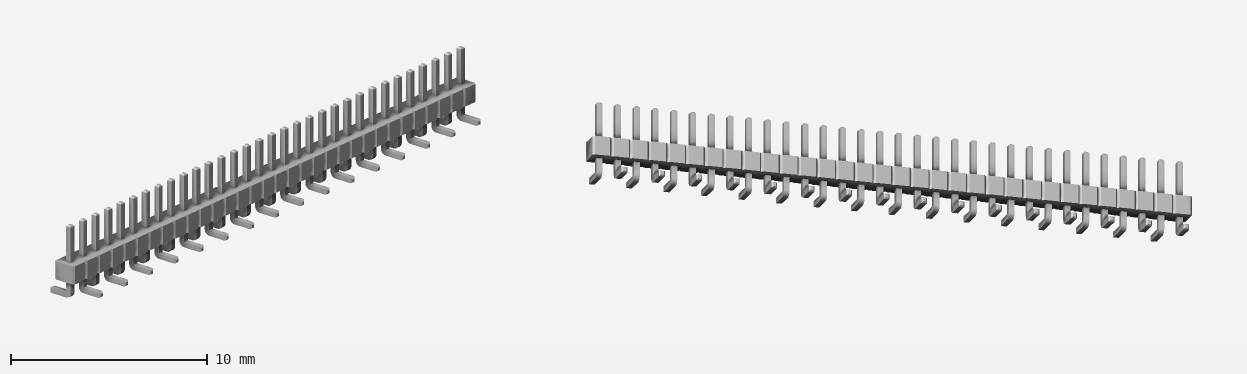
import cadquery as cq


pin_count = 32
row_length = 32.0
pitch = row_length / pin_count

body_width = 1.28
body_bottom = pitch
body_height = pitch
corner_chamfer = 0.1

pin_size = 0.3
pin_height = 4.0
tip_chamfer = 0.075
foot_span = 2.5
foot_reach = foot_span / 2
bend_radius = pin_size


def make_body_segment():
    """One pitch of the body, chamfered on its four upright edges."""
    return (
        cq.Workplane("XY", origin=(0, 0, body_bottom))
        .rect(body_width, pitch)
        .extrude(body_height)
        .edges("|Z")
        .chamfer(corner_chamfer)
    )


def make_pin():
    """A square pin bent into an L with a rounded heel, its foot pointing to +X."""
    half = pin_size / 2
    outline = (
        cq.Workplane("XZ")
        .moveTo(-half, pin_height)
        .lineTo(half, pin_height)
        .lineTo(half, pin_size)
        .lineTo(foot_reach, pin_size)
        .lineTo(foot_reach, 0)
        .lineTo(bend_radius - half, 0)
        .radiusArc((-half, bend_radius), bend_radius)
        .close()
    )
    return outline.extrude(half, both=True).faces(">X or >Z").chamfer(tip_chamfer)


right_segment = make_body_segment().union(make_pin())
left_segment = right_segment.rotate((0, 0, 0), (0, 0, 1), 180)

result = cq.Workplane("XY")
for index in range(pin_count):
    segment = left_segment if index % 2 == 0 else right_segment
    center_y = (index - (pin_count - 1) / 2) * pitch
    result = result.union(segment.translate((0, center_y, 0)))